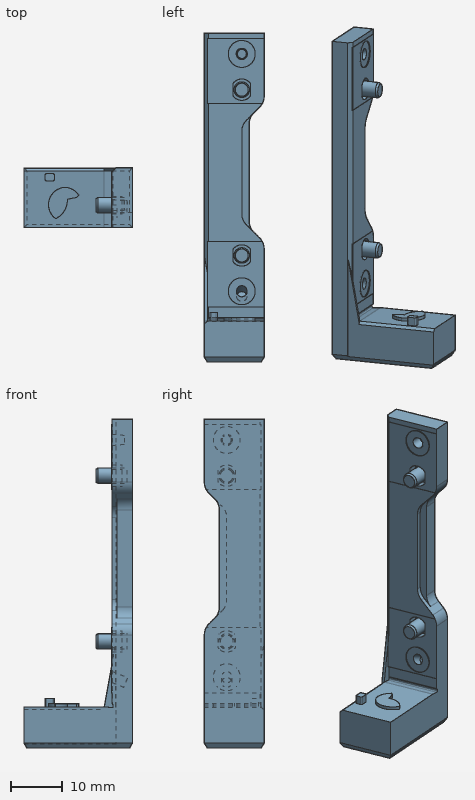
import cadquery as cq
import math

TOTAL_LENGTH = 21.0
TOTAL_WIDTH = 11.6
TOTAL_HEIGHT = 63.5

ARM_THICKNESS = 4.0
FOOT_HEIGHT = 8.0
FOOT_TIP_X = ARM_THICKNESS - TOTAL_LENGTH
ARM_EDGE_CHAMFER = 0.8
FOOT_SIDE_INSET = 0.1
EDGE_STRIP_WIDTH = 0.65
FOOT_TOP_CHAMFER = EDGE_STRIP_WIDTH - FOOT_SIDE_INSET
BOTTOM_CHAMFER_WIDTH = 0.6
BOTTOM_CHAMFER_HEIGHT = 1.0

MIDDLE_Z = 36.6
PIN_OFFSET = 16.0
SOCKET_OFFSET = 22.9
FITTING_Y = 4.35

WAIST_CUT_DEPTH = 2.9
WAIST_HALF_LENGTH = 13.52
WAIST_RADIUS = 3.0
LEDGE_CUT_DEPTH = FITTING_Y
LEDGE_THICKNESS = 1.0

PAD_START_OFFSET = 13.35
PAD_END_OFFSET = 25.9
PAD_HEIGHT = 0.05

PIN_DIAMETER = 3.0
PIN_PROJECTION = 3.1
PIN_TIP_CHAMFER_LENGTH = 0.4
PIN_TIP_CHAMFER_WIDTH = 0.25
PIN_EMBEDDED_LENGTH = 3.0
PIN_RECESS_DIAMETER = 4.13
PIN_RECESS_WIDTH = 3.35
PIN_RECESS_DEPTH = 2.0

SOCKET_DIAMETER = 5.2
SOCKET_DEPTH = 0.2
SOCKET_HOLE_DIAMETER = 2.0
TAPER_MOUTH_DIAMETER = 2.2
TAPER_END_DIAMETER = 1.75
SOCKET_HOLE_DEPTH = 2.5
SLOPED_HOLE_LENGTH = 2.7
SLOPED_HOLE_ANGLE = 22.0

RELIEF_REACH = 1.5
RELIEF_DROP = 0.2
RELIEF_UNDERCUT = 0.25
RELIEF_HEIGHT = 0.6
RELIEF_RADIUS = 0.2
GUSSET_STEEPNESS = 5.5

POST_LENGTH = 1.8
POST_WIDTH = 1.4
POST_HEIGHT = 1.6
POST_EDGE_RADIUS = 0.3
POST_X = -12.0
POST_Y = 9.75
LEAF_HEIGHT = 0.6


def foot():
    """Block under the arm's front, with its far top edge chamfered."""
    width = TOTAL_WIDTH - FOOT_SIDE_INSET
    block = cq.Workplane("XY").box(TOTAL_LENGTH, width, FOOT_HEIGHT, centered=False)
    block = block.edges(">Y and >Z").chamfer(FOOT_TOP_CHAMFER)
    return block.translate((FOOT_TIP_X, 0, 0))


def arm():
    """Upright bar with its far front edge chamfered."""
    bar = cq.Workplane("XY").box(ARM_THICKNESS, TOTAL_WIDTH, TOTAL_HEIGHT - FOOT_HEIGHT, centered=False)
    bar = bar.translate((0, 0, FOOT_HEIGHT)).edges("<X and >Y").chamfer(ARM_EDGE_CHAMFER)
    heel = cq.Workplane("XY").box(ARM_THICKNESS - ARM_EDGE_CHAMFER, TOTAL_WIDTH, FOOT_HEIGHT, centered=False)
    return bar.union(heel.translate((ARM_EDGE_CHAMFER, 0, 0)))


def bottom_envelope():
    """Full-size block chamfered around its underside."""
    block = cq.Workplane("XY").box(TOTAL_LENGTH, TOTAL_WIDTH, TOTAL_HEIGHT, centered=False)
    block = block.faces("<Z").edges().chamfer(BOTTOM_CHAMFER_HEIGHT, BOTTOM_CHAMFER_WIDTH)
    return block.translate((FOOT_TIP_X, 0, 0))


def gusset():
    """Thin sloping web along the far edge of the inner corner, running out into the arm's edge chamfer."""
    inner_y = TOTAL_WIDTH - EDGE_STRIP_WIDTH
    base_z = FOOT_HEIGHT - FOOT_TOP_CHAMFER
    back_x = ARM_EDGE_CHAMFER
    top_z = FOOT_HEIGHT + GUSSET_STEEPNESS * (back_x + RELIEF_REACH)
    web = (
        cq.Workplane("XZ", origin=(0, inner_y, 0))
        .moveTo(-RELIEF_REACH, base_z)
        .lineTo(back_x, base_z)
        .lineTo(back_x, top_z)
        .lineTo(-RELIEF_REACH, FOOT_HEIGHT)
        .close()
        .extrude(-FOOT_TOP_CHAMFER)
    )
    return web


def corner_relief():
    """Undercut groove running along the inner corner, up to the gusset."""
    floor_z = FOOT_HEIGHT - RELIEF_DROP
    groove = (
        cq.Workplane("XZ")
        .moveTo(-RELIEF_REACH, FOOT_HEIGHT)
        .lineTo(RELIEF_UNDERCUT, floor_z)
        .lineTo(RELIEF_UNDERCUT, FOOT_HEIGHT + RELIEF_HEIGHT - RELIEF_UNDERCUT)
        .lineTo(0, FOOT_HEIGHT + RELIEF_HEIGHT)
        .close()
        .extrude(-(TOTAL_WIDTH - EDGE_STRIP_WIDTH))
    )
    return groove.edges("|Y and >X and <Z").fillet(RELIEF_RADIUS)


def waist_cut(depth, end_x):
    """Cutter for a waist with 45-degree ends and rounded corners, from ahead of the pads back to end_x."""
    floor_half_length = WAIST_HALF_LENGTH - depth
    far_half_length = WAIST_HALF_LENGTH + WAIST_RADIUS
    outside_y = -WAIST_RADIUS
    profile = [
        (outside_y, -far_half_length),
        (0, -far_half_length),
        (0, -WAIST_HALF_LENGTH),
        (depth, -floor_half_length),
        (depth, floor_half_length),
        (0, WAIST_HALF_LENGTH),
        (0, far_half_length),
        (outside_y, far_half_length),
    ]
    cutter = cq.Workplane("YZ").polyline(profile).close().extrude(end_x + PAD_HEIGHT)
    bends = cutter.edges("|X").filter(lambda edge: abs(edge.Center().z) < far_half_length - WAIST_RADIUS / 2)
    cutter = bends.fillet(WAIST_RADIUS)
    return cutter.translate((-PAD_HEIGHT, 0, MIDDLE_Z))


def pad(side):
    """Low pad on the arm's front face, above (+1) or below (-1) the middle."""
    width = TOTAL_WIDTH - EDGE_STRIP_WIDTH
    length = PAD_END_OFFSET - PAD_START_OFFSET
    center_z = MIDDLE_Z + side * (PAD_START_OFFSET + PAD_END_OFFSET) / 2
    thickness = PAD_HEIGHT + ARM_EDGE_CHAMFER
    plate = cq.Workplane("XY").box(thickness, width, length, centered=(False, False, True))
    return plate.translate((-PAD_HEIGHT, 0, center_z))


def pad_plane(offset):
    """Plane on a pad face, with its normal pointing into the arm."""
    origin = (-PAD_HEIGHT, FITTING_Y, MIDDLE_Z + offset)
    return cq.Plane(origin=origin, xDir=(0, 1, 0), normal=(1, 0, 0))


def pin_seat(offset):
    """Flat-sided recess around a pin, with the pin's blind hole in its floor."""
    plane = pad_plane(offset)
    recess = cq.Workplane(plane).circle(PIN_RECESS_DIAMETER / 2).extrude(PIN_RECESS_DEPTH)
    flats = cq.Workplane(plane).rect(PIN_RECESS_WIDTH, PIN_RECESS_DIAMETER).extrude(PIN_RECESS_DEPTH)
    hole = cq.Workplane(plane).circle(PIN_DIAMETER / 2).extrude(PIN_EMBEDDED_LENGTH)
    return recess.intersect(flats).union(hole)


def socket(offset):
    """Shallow round socket."""
    return cq.Workplane(pad_plane(offset)).circle(SOCKET_DIAMETER / 2).extrude(SOCKET_DEPTH)


def tapered_hole():
    """Slightly tapered blind hole in the upper socket."""
    hole = (
        cq.Workplane(pad_plane(SOCKET_OFFSET))
        .circle(TAPER_MOUTH_DIAMETER / 2)
        .workplane(offset=SOCKET_HOLE_DEPTH)
        .circle(TAPER_END_DIAMETER / 2)
        .loft(ruled=True)
    )
    return hole


def sloped_hole():
    """Blind hole in the lower socket, running down into the arm."""
    slope = math.radians(SLOPED_HOLE_ANGLE)
    direction = cq.Vector(math.cos(slope), 0, -math.sin(slope))
    mouth = cq.Vector(SOCKET_DEPTH - PAD_HEIGHT, FITTING_Y, MIDDLE_Z - SOCKET_OFFSET)
    radius = SOCKET_HOLE_DIAMETER / 2
    start = mouth - direction * radius
    return cq.Workplane(cq.Solid.makeCylinder(radius, SLOPED_HOLE_LENGTH + radius, start, direction))


def post():
    """Small upright post with rounded vertical edges."""
    block = cq.Workplane("XY", origin=(POST_X, POST_Y, FOOT_HEIGHT)).rect(POST_LENGTH, POST_WIDTH)
    return block.extrude(POST_HEIGHT).edges("|Z").fillet(POST_EDGE_RADIUS)


def leaf():
    """Low raised comma-shaped island."""
    tail = (-10.85, 1.75)
    crown = (-8.9, 7.8)
    nose_top = (-6.4, 6.3)
    nose_bottom = (-6.8, 5.85)
    notch = (-8.6, 5.5)
    island = (
        cq.Workplane("XY", origin=(0, 0, FOOT_HEIGHT))
        .moveTo(*tail)
        .threePointArc((-12.2, 5.0), crown)
        .threePointArc((-7.45, 7.3), nose_top)
        .lineTo(*nose_bottom)
        .lineTo(*notch)
        .threePointArc((-9.1, 3.4), tail)
        .close()
        .extrude(LEAF_HEIGHT)
    )
    return island


def make_bracket():
    """L-shaped bracket with all its recesses and raised details."""
    body = foot().union(arm()).intersect(bottom_envelope())
    body = body.union(gusset()).cut(corner_relief())
    body = body.union(pad(1)).union(pad(-1))
    body = body.cut(waist_cut(WAIST_CUT_DEPTH, ARM_THICKNESS))
    body = body.cut(waist_cut(LEDGE_CUT_DEPTH, LEDGE_THICKNESS))
    for side in (-1, 1):
        body = body.cut(pin_seat(side * PIN_OFFSET))
        body = body.cut(socket(side * SOCKET_OFFSET))
    body = body.cut(tapered_hole()).cut(sloped_hole())
    return body.union(post()).union(leaf())


def make_pin(offset):
    """Round pin with a chamfered tip, standing out of the arm's front face."""
    end_x = PIN_EMBEDDED_LENGTH - PAD_HEIGHT
    plane = cq.Plane(origin=(end_x, FITTING_Y, MIDDLE_Z + offset), xDir=(0, 1, 0), normal=(-1, 0, 0))
    rod = cq.Workplane(plane).circle(PIN_DIAMETER / 2).extrude(end_x + PIN_PROJECTION)
    return rod.faces("<X").chamfer(PIN_TIP_CHAMFER_LENGTH, PIN_TIP_CHAMFER_WIDTH).solids()


bracket = make_bracket().solids()
pins = [make_pin(side * PIN_OFFSET) for side in (-1, 1)]

result = cq.Compound.makeCompound([bracket.val(), *[pin.val() for pin in pins]])